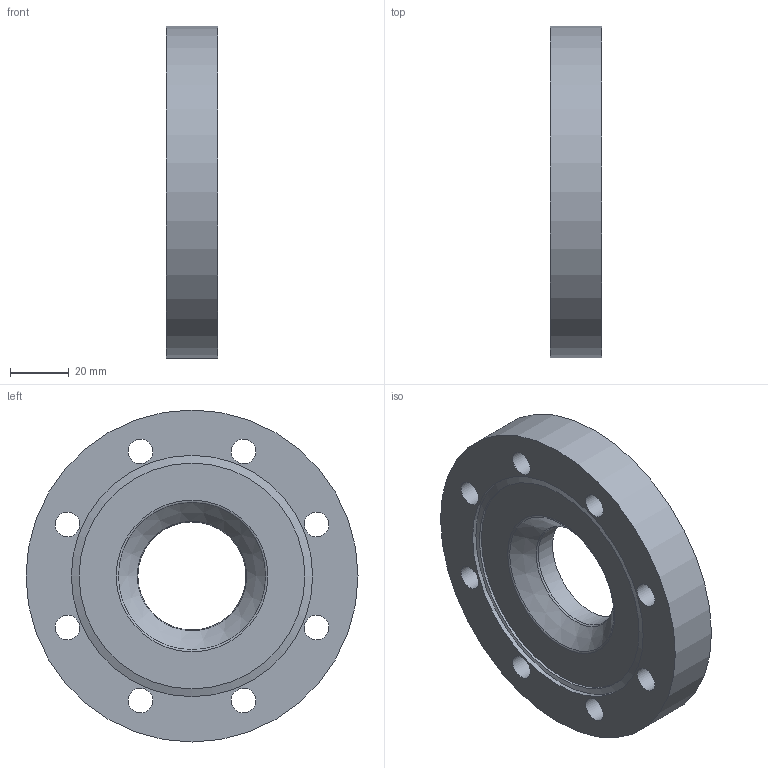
import cadquery as cq
import math

flange_diameter = 113.5
flange_thickness = 17.5

seal_recess_diameter = 82.5
knife_diameter = 77.2
seal_recess_depth = 1.6
knife_slope_angle = 20.0

funnel_mouth_diameter = 51.0
throat_diameter = 37.0
funnel_half_angle = 45.0
funnel_edge_radius = 1.0

socket_diameter = 42.0
socket_depth = 1.6

bolt_count = 8
bolt_hole_diameter = 8.4
bolt_circle_diameter = 92.2
first_bolt_angle = 180.0 / bolt_count

front_x = -flange_thickness / 2
back_x = flange_thickness / 2
inner_face_x = front_x + seal_recess_depth
knife_height = (seal_recess_diameter - knife_diameter) / 2 * math.tan(math.radians(knife_slope_angle))
knife_tip_x = inner_face_x - knife_height
socket_x = back_x - socket_depth
funnel_length = (funnel_mouth_diameter - throat_diameter) / 2 / math.tan(math.radians(funnel_half_angle))
funnel_end_x = inner_face_x + funnel_length


def flange_body():
    """Revolve the half section, drawn as (axial, radial) points, about X."""
    section = (
        cq.Workplane("XY")
        .moveTo(front_x, flange_diameter / 2)
        .lineTo(front_x, seal_recess_diameter / 2)
        .lineTo(inner_face_x, seal_recess_diameter / 2)
        .lineTo(knife_tip_x, knife_diameter / 2)
        .lineTo(inner_face_x, knife_diameter / 2)
        .lineTo(inner_face_x, funnel_mouth_diameter / 2)
        .lineTo(funnel_end_x, throat_diameter / 2)
        .lineTo(socket_x, throat_diameter / 2)
        .lineTo(socket_x, socket_diameter / 2)
        .lineTo(back_x, socket_diameter / 2)
        .lineTo(back_x, flange_diameter / 2)
        .close()
    )
    return section.revolve(360, (0, 0, 0), (1, 0, 0))


def round_funnel_edges(body):
    """Blend the funnel into the inner face and into the throat."""
    selection_margin = 0.1
    for edge_x, edge_radius in (
        (inner_face_x, funnel_mouth_diameter / 2),
        (funnel_end_x, throat_diameter / 2),
    ):
        reach = edge_radius + selection_margin
        edge = cq.selectors.BoxSelector(
            (edge_x - selection_margin, -reach, -reach),
            (edge_x + selection_margin, reach, reach),
            boundingbox=True,
        )
        body = body.edges(edge).fillet(funnel_edge_radius)
    return body


def bolt_holes():
    """Through holes on the bolt circle."""
    return (
        cq.Workplane("YZ", origin=(front_x, 0, 0))
        .polarArray(bolt_circle_diameter / 2, first_bolt_angle, 360, bolt_count)
        .circle(bolt_hole_diameter / 2)
        .extrude(flange_thickness)
    )


result = round_funnel_edges(flange_body()).cut(bolt_holes())